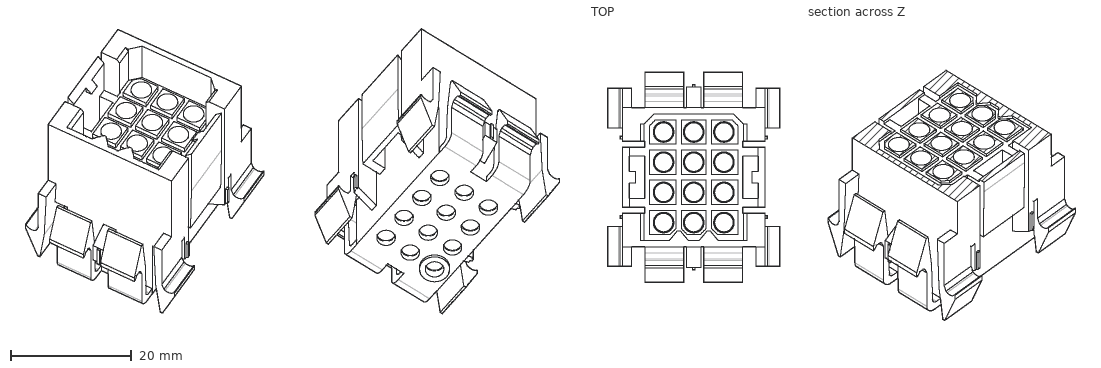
import cadquery as cq

half_x = 11.83
half_y = 11.52
full_half_y = 17.4
height = 32.95
full_height = 33.5
core_half_x = 8.15
core_top = 24.5
overlap = 0.35
shoulder_z = 12.88

cavity_half_x = 8.25
cavity_half_y = 10.47
cavity_corner = 1.67
lead_in = 0.6
key_x = 2.47
key_height = 1.6
key_base_half = 1.55
key_tip_half = 0.25

corner_inner_y = 5.95
corner_stop_y = 7.2
panel_half_y = 4.98
panel_inner_x = 10.7
panel_bend_z = 22.97
panel_taper = 0.17
web_inner_y = 3.5
catch_inner_x = 9.65
catch_half_y = 0.97

stop_root_z = 4.95
stop_tip_z = 7.03
stop_rib_top = 10.9
stop_rib_half = 0.25
stop_rib_depth = 0.4
centre_stop_half_x = 1.22
centre_stop_y = 14.95

columns = 3
rows = 4
row_span = 15.0
pitch = row_span / (rows - 1)
first_x = -(columns - 1) / 2 * pitch
first_y = -(rows - 1) / 2 * pitch
post_top = 25.47
post_half_y = 2.02
inner_post_half_x = 2.05
outer_post_inner_x = 2.95
outer_post_outer_x = 7.35
post_corner = 1.0
bore_radius = 1.7
outlet_radius = 1.53
outlet_depth = 1.4
boss_radius = 2.5
boss_height = full_height - height

hook_reach = 2.47
hook_length = 22.0
hook_end_outer = 0.15
hook_end_inner = 0.3
barb_tip_start = 1.9
barb_tip_end = 4.6
hook_kink = 3.1
hook_kink_depth = 1.15
barb_foot = (0.42, 2.9)
curved_barb_start = (0.65, 3.4)
curved_barb_middle = (1.4, 3.8)
curved_barb_end = (hook_reach - 0.15, barb_tip_start)
angled_barb = [(0.8, 3.9), (1.67, 3.9), (hook_reach - 0.3, barb_tip_start + 0.2)]

latch_x_inner_y = 8.15
latch_x_outer_y = 14.75
latch_x_top = 17.9
latch_x_root_z = 8.6
latch_x_thick = 1.53
latch_y_outer = full_half_y - hook_reach
latch_y_inner_x = 1.65
latch_y_outer_x = 8.1
latch_y_root_z = 9.3
latch_y_thick = 1.43
latch_y_floor = 1.45
latch_y_outer_radius = 1.88
latch_y_inner_radius = 0.95


def box(x0, x1, y0, y1, z0, z1):
    return cq.Workplane("XY").box(x1 - x0, y1 - y0, z1 - z0, centered=False).translate((x0, y0, z0))


def across_y(profile, y0, y1):
    """Extrude a profile drawn in (X, Z) from y0 to y1."""
    return profile.extrude(y0 - y1).translate((0, y0, 0))


def across_x(profile, x0, x1):
    """Extrude a profile drawn in (Y, Z) from x0 to x1."""
    return profile.extrude(x1 - x0).translate((x0, 0, 0))


def both_x(shape):
    return shape.union(shape.mirror("YZ"))


def both_y(shape):
    return shape.union(shape.mirror("XZ"))


def add_path(sketch, points):
    for point in points:
        sketch = sketch.lineTo(*point)
    return sketch


def hook_outline(sketch, face, root, toward_tip, curved):
    """Draw the hook from its root on the arm face, round the barb to the kink of the inner face."""
    def at(out, along):
        return face + out, root + toward_tip * along

    sketch = add_path(sketch, [at(0, 0), at(*barb_foot)])
    if curved:
        sketch = sketch.lineTo(*at(*curved_barb_start))
        sketch = sketch.threePointArc(at(*curved_barb_middle), at(*curved_barb_end))
    else:
        sketch = add_path(sketch, [at(*point) for point in angled_barb])
    return add_path(sketch, [
        at(hook_reach, barb_tip_start),
        at(hook_reach, barb_tip_end),
        at(hook_end_outer, hook_length),
        at(-hook_end_inner, hook_length),
        at(-hook_kink_depth, hook_kink),
    ])


def cavity():
    edge_y = cavity_half_y
    outline = cq.Workplane("XY", origin=(0, 0, core_top)).moveTo(-cavity_half_x, -edge_y)
    for x in (-key_x, key_x):
        outline = (
            outline.lineTo(x - key_base_half, -edge_y)
            .lineTo(x - key_tip_half, -edge_y + key_height)
            .lineTo(x + key_tip_half, -edge_y + key_height)
            .lineTo(x + key_base_half, -edge_y)
        )
    shape = (
        outline.lineTo(cavity_half_x, -edge_y)
        .lineTo(cavity_half_x, edge_y - cavity_corner)
        .lineTo(cavity_half_x - cavity_corner, edge_y)
        .lineTo(cavity_corner - cavity_half_x, edge_y)
        .lineTo(-cavity_half_x, edge_y - cavity_corner)
        .close()
        .extrude(height - core_top)
    )
    bevel = cq.Workplane("XZ").polyline([
        (cavity_half_x, height),
        (cavity_half_x + lead_in, height),
        (cavity_half_x, height - lead_in),
    ]).close()
    return shape.union(both_x(across_y(bevel, -edge_y, edge_y - cavity_corner)))


def housing():
    body = box(-half_x, half_x, -half_y, half_y, shoulder_z, height)
    body = body.union(box(-core_half_x, core_half_x, -half_y, half_y, 0, shoulder_z))
    side_opening = box(core_half_x, half_x, -corner_inner_y, corner_inner_y, 0, height)
    middle_opening = box(-core_half_x, core_half_x, -corner_inner_y, corner_inner_y, core_top, height)
    return body.cut(both_x(side_opening)).cut(middle_opening).cut(cavity())


def side_panel():
    panel = cq.Workplane("XZ").polyline([
        (panel_inner_x, shoulder_z),
        (half_x - panel_taper, shoulder_z),
        (half_x, panel_bend_z),
        (half_x, height),
        (panel_inner_x, height - (half_x - panel_inner_x)),
    ]).close()
    catch_bottom = height - (half_x - catch_inner_x)
    catch = cq.Workplane("XZ").polyline([
        (catch_inner_x, catch_bottom),
        (half_x, catch_bottom),
        (half_x, height),
    ]).close()
    web = box(core_half_x - overlap, panel_inner_x + overlap, web_inner_y, panel_half_y, shoulder_z, core_top)
    return (
        across_y(panel, -panel_half_y, panel_half_y)
        .union(across_y(catch, -catch_half_y, catch_half_y))
        .union(both_y(web))
    )


def corner_stop():
    slope = (stop_tip_z - stop_root_z) / (half_x - core_half_x)
    rib_x = half_x + stop_rib_depth
    block = cq.Workplane("XZ").polyline([
        (core_half_x, stop_root_z),
        (half_x, stop_tip_z),
        (half_x, shoulder_z),
        (core_half_x, shoulder_z),
    ]).close()
    rib = cq.Workplane("XZ").polyline([
        (core_half_x, stop_root_z),
        (rib_x, stop_tip_z + slope * stop_rib_depth),
        (rib_x, stop_rib_top),
        (core_half_x, stop_rib_top),
    ]).close()
    rib_y = (corner_inner_y + corner_stop_y) / 2
    return across_y(block, corner_inner_y, corner_stop_y).union(
        across_y(rib, rib_y - stop_rib_half, rib_y + stop_rib_half)
    )


def centre_stop():
    rib_y = centre_stop_y + stop_rib_depth
    block = cq.Workplane("YZ").polyline([
        (half_y, stop_root_z),
        (centre_stop_y, stop_tip_z),
        (centre_stop_y, stop_rib_top),
        (half_y, shoulder_z),
    ]).close()
    rib = box(-stop_rib_half, stop_rib_half, half_y, rib_y, stop_tip_z, stop_rib_top)
    return across_x(block, -centre_stop_half_x, centre_stop_half_x).union(rib)


def side_latch():
    """Downward hook beside a corner block."""
    profile = cq.Workplane("XZ").moveTo(half_x, latch_x_top)
    profile = hook_outline(profile, half_x, latch_x_root_z, -0.35, True)
    profile = profile.lineTo(half_x - latch_x_thick, latch_x_top).close()
    return across_y(profile, latch_x_inner_y, latch_x_outer_y)


def end_latch():
    """Upward hook on a U-shaped arm that leaves the foot of the housing."""
    inner_y = latch_y_outer - latch_y_thick
    profile = (
        cq.Workplane("YZ").moveTo(half_y - overlap, 0)
        .lineTo(latch_y_outer - latch_y_outer_radius, 0)
        .radiusArc((latch_y_outer, latch_y_outer_radius), -latch_y_outer_radius)
    )
    profile = (
        hook_outline(profile, latch_y_outer, latch_y_root_z, 0.35, False)
        .lineTo(inner_y, latch_y_floor + latch_y_inner_radius)
        .radiusArc((inner_y - latch_y_inner_radius, latch_y_floor), latch_y_inner_radius)
        .lineTo(half_y - overlap, latch_y_floor)
        .close()
    )
    return across_x(profile, latch_y_inner_x, latch_y_outer_x)


def contact_post(column, row):
    """Post with its corners cut where the cavity corners and keys come close."""
    x0, x1 = (
        (-outer_post_outer_x, -outer_post_inner_x),
        (-inner_post_half_x, inner_post_half_x),
        (outer_post_inner_x, outer_post_outer_x),
    )[column]
    y = first_y + row * pitch
    post = box(x0, x1, y - post_half_y, y + post_half_y, core_top, post_top)
    if row == rows - 1 and column == 0:
        post = post.edges("|Z and <X and >Y").chamfer(post_corner)
    if row == rows - 1 and column == columns - 1:
        post = post.edges("|Z and >X and >Y").chamfer(post_corner)
    if row == 0 and column > 0:
        post = post.edges("|Z and <X and <Y").chamfer(post_corner)
    if row == 0 and column < columns - 1:
        post = post.edges("|Z and >X and <Y").chamfer(post_corner)
    return post


def contact_bore(x, y):
    bore = cq.Workplane("XY", origin=(x, y, outlet_depth)).circle(bore_radius).extrude(post_top - outlet_depth)
    outlet = cq.Workplane("XY", origin=(x, y, -boss_height)).circle(outlet_radius)
    return bore.union(outlet.extrude(boss_height + outlet_depth))


result = housing()
result = result.union(both_x(side_panel()))
result = result.union(both_x(both_y(corner_stop())))
result = result.union(both_y(centre_stop()))
result = result.union(both_x(both_y(side_latch())))
result = result.union(both_x(both_y(end_latch())))

boss = cq.Workplane("XY", origin=(first_x, first_y, -boss_height)).circle(boss_radius).extrude(boss_height)
result = result.union(boss)

for column in range(columns):
    for row in range(rows):
        result = result.union(contact_post(column, row))
for column in range(columns):
    for row in range(rows):
        result = result.cut(contact_bore(first_x + column * pitch, first_y + row * pitch))